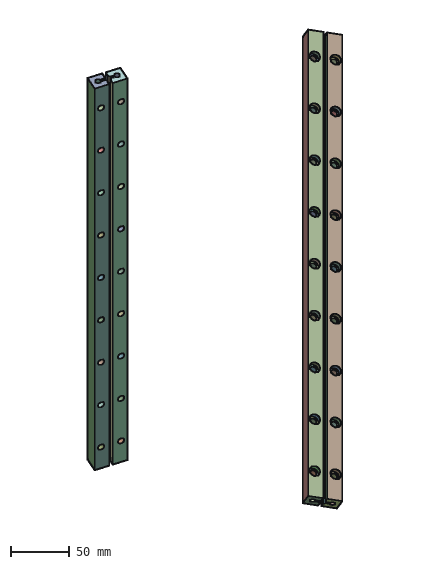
import cadquery as cq
import math

LENGTH = 450.0
THICKNESS = 15.0
PAIR_SPAN = 31.0
RAIL_GAP = 3.0
RAIL_WIDTH = (PAIR_SPAN - RAIL_GAP) / 2

RACEWAY_SIDE = 6.0
RELIEF_WIDTH = 2.0
RELIEF_BOTTOM = 5.5

HOLE_COUNT = 9
HOLE_PITCH = LENGTH / HOLE_COUNT
FIRST_HOLE = HOLE_PITCH / 2
HOLE_OFFSET = 9.5
HOLE_DIAMETER = 6.0
BORE_DIAMETER = 9.5
BORE_DEPTH = 5.0

END_HOLE_OFFSET = 9.0
END_HOLE_DIAMETER = 5.0
END_HOLE_DEPTH = 9.0
DRILL_POINT_ANGLE = 118.0


def rail_blank(side):
    """Rectangular bar on the +Y (side = 1) or -Y (side = -1) half of the pair."""
    center_y = side * (RAIL_GAP + RAIL_WIDTH) / 2
    return cq.Workplane("XY").center(0, center_y).rect(THICKNESS, RAIL_WIDTH).extrude(LENGTH)


def raceway():
    """Full-length square channel between the rails, with a relief slot at the V bottoms."""
    channel = (
        cq.Workplane("XY")
        .transformed(rotate=(0, 0, 45))
        .rect(RACEWAY_SIDE, RACEWAY_SIDE)
        .extrude(LENGTH)
    )
    relief = cq.Workplane("XY").rect(RELIEF_WIDTH, 2 * RELIEF_BOTTOM).extrude(LENGTH)
    return channel.union(relief)


def mounting_hole(side, height):
    """Through hole along X with a counterbore on the -X face."""
    face = cq.Workplane("YZ", origin=(-THICKNESS / 2, side * HOLE_OFFSET, height))
    hole = face.circle(HOLE_DIAMETER / 2).extrude(THICKNESS)
    bore = face.circle(BORE_DIAMETER / 2).extrude(BORE_DEPTH)
    return hole.union(bore)


def end_hole(side):
    """Blind hole with a conical drill point, running up from the bottom end face."""
    radius = END_HOLE_DIAMETER / 2
    point_length = radius / math.tan(math.radians(DRILL_POINT_ANGLE / 2))
    return (
        cq.Workplane("XZ", origin=(0, side * END_HOLE_OFFSET, 0))
        .moveTo(0, 0)
        .lineTo(radius, 0)
        .lineTo(radius, END_HOLE_DEPTH)
        .lineTo(0, END_HOLE_DEPTH + point_length)
        .close()
        .revolve(360, (0, 0), (0, 1))
    )


def rail(side):
    """One finished rail; the two rails mirror each other about the XZ plane."""
    body = rail_blank(side).cut(raceway())
    for index in range(HOLE_COUNT):
        body = body.cut(mounting_hole(side, FIRST_HOLE + index * HOLE_PITCH))
    bottom_hole = end_hole(side)
    top_hole = bottom_hole.mirror("XY", (0, 0, LENGTH / 2))
    return body.cut(bottom_hole).cut(top_hole)


rails = [rail(side).solids().val() for side in (1, -1)]

result = cq.Compound.makeCompound([*rails])